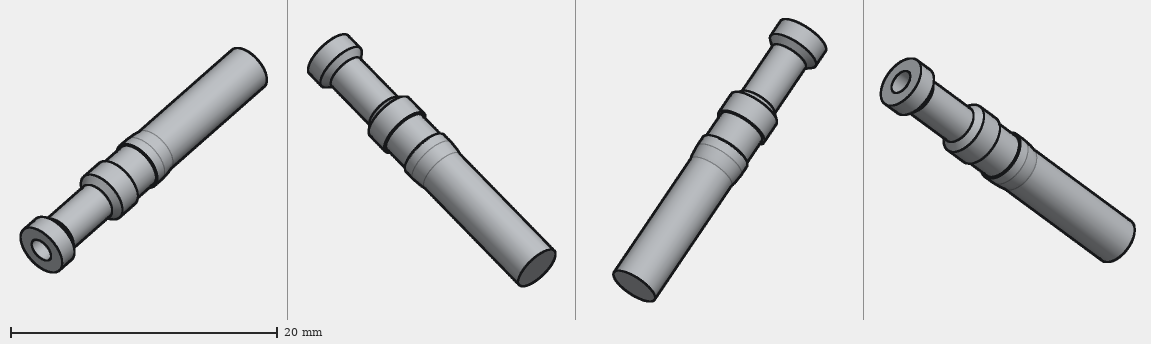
import cadquery as cq
import math


collar_diameter = 4.1
neck_diameter = 3.0
shank_diameter = 3.7
ring_diameter = 4.0
bore_diameter = 1.9

total_length = 24.2
end_collar_length = 1.45
middle_collar_start = 7.05
middle_collar_end = 8.85
ring_start = 11.2
ring_end = 12.05
ring_taper_length = 1.15

bore_depth = 4.0
drill_point_angle = 130.0

front_y = -total_length / 2
collar_radius = collar_diameter / 2
neck_radius = neck_diameter / 2
shank_radius = shank_diameter / 2
ring_radius = ring_diameter / 2
bore_radius = bore_diameter / 2

collar_cone_length = collar_radius - neck_radius


def revolve_about_y(profile):
    """Turn a closed half profile (X = radius, Y = length) about the Y axis."""
    return profile.close().revolve(360, (0, 0, 0), (0, 1, 0))


def make_body():
    """Outer turned shape: end collar, neck, middle collar, ring and shank."""
    profile = (
        cq.Workplane("XY", origin=(0, front_y, 0))
        .moveTo(0, 0)
        .lineTo(collar_radius, 0)
        .lineTo(collar_radius, end_collar_length)
        .lineTo(neck_radius, end_collar_length + collar_cone_length)
        .lineTo(neck_radius, middle_collar_start - collar_cone_length)
        .lineTo(collar_radius, middle_collar_start)
        .lineTo(collar_radius, middle_collar_end)
        .lineTo(shank_radius, middle_collar_end)
        .lineTo(shank_radius, ring_start)
        .lineTo(ring_radius, ring_start)
        .lineTo(ring_radius, ring_end)
        .tangentArcPoint((shank_radius, ring_end + ring_taper_length), relative=False)
        .lineTo(shank_radius, total_length)
        .lineTo(0, total_length)
    )
    return revolve_about_y(profile)


def make_bore():
    """Cutter for the blind bore, including its conical point."""
    point_length = bore_radius / math.tan(math.radians(drill_point_angle / 2))
    profile = (
        cq.Workplane("XY", origin=(0, front_y, 0))
        .moveTo(0, 0)
        .lineTo(bore_radius, 0)
        .lineTo(bore_radius, bore_depth)
        .lineTo(0, bore_depth + point_length)
    )
    return revolve_about_y(profile)


result = make_body().cut(make_bore())